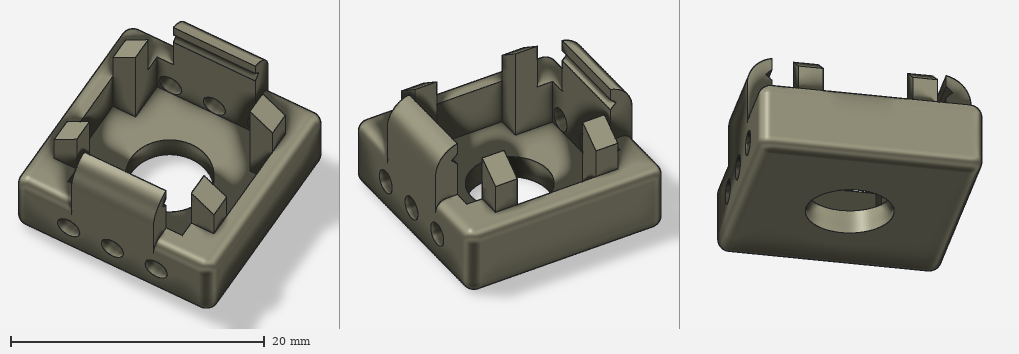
import cadquery as cq
import math

SIDE = 18.0
HALF_SIDE = SIDE / 2
BODY_HEIGHT = 6.0
EDGE_RADIUS = 1.0
FLOOR_THICKNESS = 2.0
FLOOR_HOLE_DIAMETER = 7.0

WALL = 2.0
LONG_ARM_X = 10.44
LONG_ARM_Y = SIDE - 2 * WALL
WIDE_ARM_X = 14.58
WIDE_ARM_Y = 11.2

SIDE_HOLE_DIAMETER = 2.0
SIDE_HOLE_COUNT = 3
SIDE_HOLE_SPACING = 2 * SIDE_HOLE_DIAMETER
SIDE_HOLE_HEIGHT = BODY_HEIGHT / 2

TAB_WIDTH = 7.49
TAB_HEIGHT = 11.0
TAB_ROUND_RADIUS = 2.5
NOTCH_DEPTH = 0.5
NOTCH_HEIGHT = 9.5

POST_WIDTH = 2.0
POST_INNER_HEIGHT = 10.0
POST_OUTER_HEIGHT = 8.53


def make_body():
    body = cq.Workplane("XY").box(SIDE, SIDE, BODY_HEIGHT, centered=(True, True, False))
    return body.edges().fillet(EDGE_RADIUS)


def make_cavity():
    floor = cq.Workplane("XY").workplane(offset=FLOOR_THICKNESS)
    depth = BODY_HEIGHT - FLOOR_THICKNESS
    long_arm = floor.rect(LONG_ARM_X, LONG_ARM_Y).extrude(depth)
    wide_arm = floor.rect(WIDE_ARM_X, WIDE_ARM_Y).extrude(depth)
    return long_arm.union(wide_arm)


def make_tab():
    """Tab on the +Y wall: rounded outside, V-notched inside."""
    base = BODY_HEIGHT / 2
    inner_y = HALF_SIDE - WALL
    arc_center_y = HALF_SIDE - TAB_ROUND_RADIUS
    tip_angle = math.acos((inner_y - arc_center_y) / TAB_ROUND_RADIUS)
    arc_center_z = TAB_HEIGHT - TAB_ROUND_RADIUS * math.sin(tip_angle)
    arc_middle = (
        arc_center_y + TAB_ROUND_RADIUS * math.cos(tip_angle / 2),
        arc_center_z + TAB_ROUND_RADIUS * math.sin(tip_angle / 2),
    )
    return (
        cq.Workplane("YZ")
        .moveTo(inner_y, base)
        .lineTo(HALF_SIDE, base)
        .lineTo(HALF_SIDE, arc_center_z)
        .threePointArc(arc_middle, (inner_y, TAB_HEIGHT))
        .lineTo(inner_y, NOTCH_HEIGHT + NOTCH_DEPTH)
        .lineTo(inner_y + NOTCH_DEPTH, NOTCH_HEIGHT)
        .lineTo(inner_y, NOTCH_HEIGHT - NOTCH_DEPTH)
        .close()
        .extrude(TAB_WIDTH / 2, both=True)
    )


def make_post():
    """Post in the +X, +Y corner of the wide arm, its top sloping down outward."""
    inner_x = LONG_ARM_X / 2
    outer_x = WIDE_ARM_X / 2
    profile = [
        (inner_x, FLOOR_THICKNESS),
        (outer_x, FLOOR_THICKNESS),
        (outer_x, POST_OUTER_HEIGHT),
        (inner_x, POST_INNER_HEIGHT),
    ]
    plane = cq.Workplane("XZ", origin=(0, WIDE_ARM_Y / 2, 0))
    return plane.polyline(profile).close().extrude(POST_WIDTH)


def make_side_holes():
    plane = cq.Workplane("XZ", origin=(0, 0, SIDE_HOLE_HEIGHT))
    holes = plane.rarray(SIDE_HOLE_SPACING, 0.18, SIDE_HOLE_COUNT, 1).circle(SIDE_HOLE_DIAMETER / 2)
    return holes.extrude(HALF_SIDE, both=True)


tab = make_tab()
post = make_post()
floor_hole = cq.Workplane("XY").circle(FLOOR_HOLE_DIAMETER / 2).extrude(BODY_HEIGHT)

result = make_body().cut(make_cavity())
result = result.union(tab).union(tab.mirror("XZ"))
for corner_post in (post, post.mirror("YZ")):
    result = result.union(corner_post).union(corner_post.mirror("XZ"))
result = result.cut(floor_hole).cut(make_side_holes())